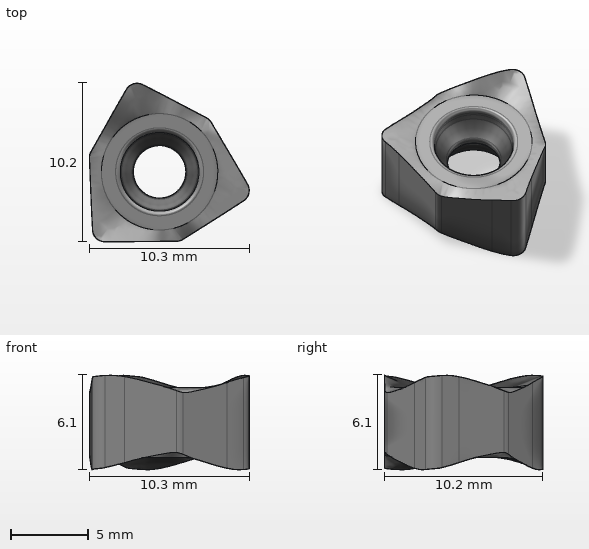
import cadquery as cq
import math


lobes = 3
lobe_angle = 360 / lobes
corner_direction = 226.45
corner_center_distance = 5.127
corner_radius = 0.8
wiper_normal_angle = 43.55
wiper_length = 1.28
side_normal_angle = 44.1
valley_radius = 0.8

seat_height = 2.26
seat_radius = 3.758
crown_reach = 7.0
crown_depth = 6.0

edge_heights = [
    (-55.0, 1.93),
    (-46.0, 2.03),
    (-31.0, 2.26),
    (-16.9, 2.59),
    (-5.4, 2.92),
    (0.0, 2.99),
    (5.4, 3.04),
    (9.9, 3.05),
    (16.9, 2.96),
    (25.3, 2.80),
    (36.2, 2.56),
    (50.5, 2.25),
    (57.5, 2.05),
]

mouth_round = 0.3
neck_radius = 2.54
neck_bottom = 1.78
shoulder_radius = 2.47
shoulder_height = 1.395
throat_entry_radius = 1.77
throat_entry_height = 0.29
throat_radius = 1.69
throat_half_length = 0.09


origin = cq.Vector(0, 0, 0)
z_axis = cq.Vector(0, 0, 1)


def polar(radius, angle):
    return cq.Vector(radius * math.cos(math.radians(angle)), radius * math.sin(math.radians(angle)))


wiper_distance = corner_center_distance * math.cos(math.radians(wiper_normal_angle)) + corner_radius
wiper_start = polar(corner_center_distance, 0) + polar(corner_radius, wiper_normal_angle)
wiper_end = wiper_start + polar(wiper_length, wiper_normal_angle + 90)
side_distance = wiper_end.dot(polar(1, side_normal_angle))
valley_half_angle = lobe_angle / 2 - side_normal_angle
valley_center_distance = (side_distance - valley_radius) / math.cos(math.radians(valley_half_angle))


def outline_radius(angle):
    """Distance from the hole axis to the outline, at an angle from the corner direction."""
    angle = abs(angle)
    if angle < math.degrees(math.atan2(wiper_start.y, wiper_start.x)):
        offset = corner_center_distance * math.sin(math.radians(angle))
        along = corner_center_distance * math.cos(math.radians(angle))
        return along + math.sqrt(corner_radius**2 - offset**2)
    to_wiper = wiper_distance / math.cos(math.radians(angle - wiper_normal_angle))
    to_side = side_distance / math.cos(math.radians(angle - side_normal_angle))
    return min(to_wiper, to_side)


def make_prism():
    """Straight-walled body, taller than the finished insert."""
    valley_center = polar(valley_center_distance, lobe_angle / 2)
    valley_start = valley_center + polar(valley_radius, side_normal_angle)
    valley_middle = polar(valley_center_distance + valley_radius, lobe_angle / 2)
    valley_end = valley_center + polar(valley_radius, lobe_angle - side_normal_angle)
    corner_middle = polar(corner_center_distance + corner_radius, 0)
    arc_start = cq.Vector(wiper_start.x, -wiper_start.y)
    next_wiper_end = polar(wiper_end.Length, lobe_angle - math.degrees(math.atan2(wiper_end.y, wiper_end.x)))
    next_arc_start = polar(arc_start.Length, lobe_angle + math.degrees(math.atan2(arc_start.y, arc_start.x)))

    lobe = [
        cq.Edge.makeThreePointArc(arc_start, corner_middle, wiper_start),
        cq.Edge.makeLine(wiper_start, wiper_end),
        cq.Edge.makeLine(wiper_end, valley_start),
        cq.Edge.makeThreePointArc(valley_start, valley_middle, valley_end),
        cq.Edge.makeLine(valley_end, next_wiper_end),
        cq.Edge.makeLine(next_wiper_end, next_arc_start),
    ]
    edges = []
    for index in range(lobes):
        turn = corner_direction + index * lobe_angle
        edges += [edge.rotate(origin, z_axis, turn) for edge in lobe]
    outline = cq.Wire.assembleEdges(edges)
    height = 2 * crown_depth
    prism = cq.Solid.extrudeLinear(outline, [], cq.Vector(0, 0, height))
    return prism.translate(cq.Vector(0, 0, -crown_depth))


def make_crown_edge():
    """Wavy closed curve that carries the cutting-edge heights out to the crown reach."""
    points = []
    parameters = []
    for index in range(lobes):
        for angle, height in edge_heights:
            slope = (height - seat_height) / (outline_radius(angle) - seat_radius)
            turn = angle + index * lobe_angle
            rise = cq.Vector(0, 0, seat_height + slope * (crown_reach - seat_radius))
            points.append(polar(crown_reach, corner_direction + turn) + rise)
            parameters.append(turn)
    parameters.append(parameters[0] + 360)
    return cq.Edge.makeSpline(points, periodic=True, parameters=parameters)


def make_crown():
    """Solid bounded above by the flat seat and the ruled land that runs from it to the wavy edge."""
    start_angle = corner_direction + edge_heights[0][0]
    seat_circle = cq.Edge.makeCircle(seat_radius, cq.Vector(0, 0, seat_height))
    seat_circle = seat_circle.rotate(origin, z_axis, start_angle)
    base_circle = cq.Edge.makeCircle(crown_reach, cq.Vector(0, 0, -crown_depth))
    base_circle = base_circle.rotate(origin, z_axis, start_angle)
    crown_edge = make_crown_edge()
    faces = [
        cq.Face.makeFromWires(cq.Wire.assembleEdges([seat_circle])),
        cq.Face.makeRuledSurface(seat_circle, crown_edge),
        cq.Face.makeRuledSurface(crown_edge, base_circle),
        cq.Face.makeFromWires(cq.Wire.assembleEdges([base_circle])),
    ]
    solid = cq.Solid.makeSolid(cq.Shell.makeShell(faces))
    return solid.fix()


def make_countersink():
    """Curved upper part of the screw hole, from the throat up to the seat."""
    mouth_radius = neck_radius + mouth_round
    round_middle = mouth_round * (1 - math.sqrt(0.5))
    return (
        cq.Workplane("XZ")
        .moveTo(0, throat_half_length)
        .lineTo(0, seat_height)
        .lineTo(mouth_radius, seat_height)
        .threePointArc(
            (neck_radius + round_middle, seat_height - round_middle),
            (neck_radius, seat_height - mouth_round),
        )
        .lineTo(neck_radius, neck_bottom)
        .tangentArcPoint((shoulder_radius, shoulder_height), relative=False)
        .tangentArcPoint((throat_entry_radius, throat_entry_height), relative=False)
        .tangentArcPoint((throat_radius, throat_half_length), relative=False)
        .close()
        .revolve(360, (0, 0, 0), (0, 1, 0))
    )


turnover_axis = polar(1, corner_direction + lobe_angle / 2)
crown = make_crown()
underside_crown = crown.rotate(origin, turnover_axis, 180)
body = cq.Workplane(make_prism()).intersect(cq.Workplane(crown)).intersect(cq.Workplane(underside_crown))

throat = cq.Workplane("XY").circle(throat_radius).extrude(seat_height, both=True)
countersink = make_countersink()
result = body.cut(throat).cut(countersink).cut(countersink.mirror("XY"))